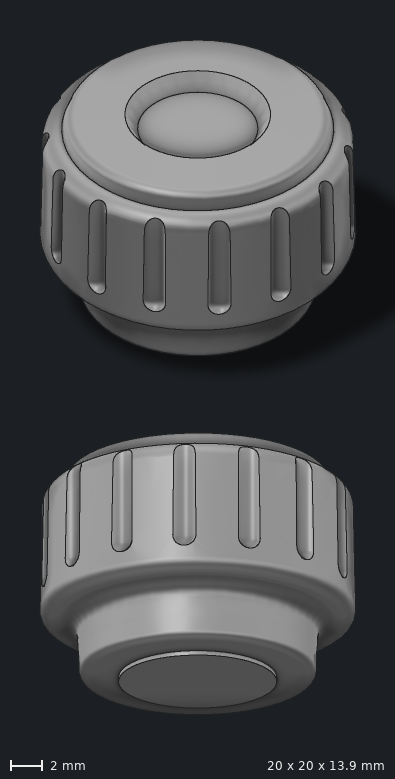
import cadquery as cq
import math

outer_radius = 9.98
total_height = 13.95

boss_radius = 5.0
boss_height = 0.3
neck_bottom_radius = 7.5
neck_top_radius = 7.59
neck_top_z = 3.02
neck_edge_radius = 0.5
flare_radius = 1.0
grip_bottom_z = neck_top_z + flare_radius
grip_bottom_edge_radius = 0.8
grip_top_radius = 9.85
grip_top_edge_radius = 1.15
grip_top_z = 12.8

groove_count = 15
groove_radius = 0.78
groove_axis_radius = 10.18
groove_ball_z = 6.35
first_groove_angle = -90.0

cap_radius = 8.59
cap_seat_z = 11.98
cap_shoulder_radius = 8.37
cap_shoulder_z = 13.38
cap_rim_radius = 7.73
cap_rim_z = 13.88

dish_rim_radius = 4.6
dish_floor_radius = 3.8
dish_depth = 1.1

DIAGONAL = math.sqrt(0.5)


def quarter_arc_middle(center_r, center_z, radius, side_r, side_z):
    """Middle point of a quarter arc; each side is +1 or -1 from the center."""
    return (center_r + side_r * radius * DIAGONAL, center_z + side_z * radius * DIAGONAL)


def make_knob_blank():
    """Revolve the boss, flared neck and rounded grip ring, with the cap seat open at the top."""
    neck_edge_center_r = neck_bottom_radius - neck_edge_radius
    neck_edge_center_z = boss_height + neck_edge_radius
    flare_end_r = neck_top_radius + flare_radius
    lower_edge_center_r = outer_radius - grip_bottom_edge_radius
    lower_edge_center_z = grip_bottom_z + grip_bottom_edge_radius
    upper_edge_center_r = grip_top_radius - grip_top_edge_radius
    upper_edge_center_z = grip_top_z - grip_top_edge_radius

    neck_edge_middle = quarter_arc_middle(neck_edge_center_r, neck_edge_center_z, neck_edge_radius, 1, -1)
    flare_middle = quarter_arc_middle(flare_end_r, neck_top_z, flare_radius, -1, 1)
    lower_edge_middle = quarter_arc_middle(
        lower_edge_center_r, lower_edge_center_z, grip_bottom_edge_radius, 1, -1)
    upper_edge_middle = quarter_arc_middle(
        upper_edge_center_r, upper_edge_center_z, grip_top_edge_radius, 1, 1)

    return (
        cq.Workplane("XZ")
        .moveTo(0, 0)
        .lineTo(boss_radius, 0)
        .lineTo(boss_radius, boss_height)
        .lineTo(neck_edge_center_r, boss_height)
        .threePointArc(neck_edge_middle, (neck_bottom_radius, neck_edge_center_z))
        .lineTo(neck_top_radius, neck_top_z)
        .threePointArc(flare_middle, (flare_end_r, grip_bottom_z))
        .lineTo(lower_edge_center_r, grip_bottom_z)
        .threePointArc(lower_edge_middle, (outer_radius, lower_edge_center_z))
        .lineTo(grip_top_radius, upper_edge_center_z)
        .threePointArc(upper_edge_middle, (upper_edge_center_r, grip_top_z))
        .lineTo(cap_radius, grip_top_z)
        .lineTo(cap_radius, cap_seat_z)
        .lineTo(0, cap_seat_z)
        .close()
        .revolve(360, (0, 0, 0), (0, 1, 0))
    )


def make_groove_cutter(angle):
    """Upright cylinder on a ball, running out through the rounded top of the grip ring."""
    shaft = cq.Workplane("XY").circle(groove_radius).extrude(total_height - groove_ball_z)
    ball = cq.Workplane("XY").sphere(groove_radius)
    return (
        shaft.union(ball)
        .translate((groove_axis_radius, 0, groove_ball_z))
        .rotate((0, 0, 0), (0, 0, 1), angle)
    )


def make_knob():
    """Grip knob with its ring of evenly spaced grooves."""
    knob = make_knob_blank()
    groove_pitch = 360 / groove_count
    for index in range(groove_count):
        knob = knob.cut(make_groove_cutter(first_groove_angle + index * groove_pitch))
    return knob


def make_cap():
    """Cap with a tapered side, rounded shoulder, slightly coned top and central dish."""
    shoulder_width = cap_shoulder_radius - cap_rim_radius
    shoulder_drop = cap_rim_z - cap_shoulder_z
    shoulder_arc_radius = (shoulder_width**2 + shoulder_drop**2) / (2 * shoulder_drop)
    half_sweep = math.atan2(shoulder_drop, shoulder_width)
    shoulder_middle = (
        cap_rim_radius + shoulder_arc_radius * math.sin(half_sweep),
        cap_rim_z - shoulder_arc_radius * (1 - math.cos(half_sweep)),
    )
    dish_floor_z = total_height - dish_depth
    return (
        cq.Workplane("XZ")
        .moveTo(0, cap_seat_z)
        .lineTo(cap_radius, cap_seat_z)
        .lineTo(cap_radius, grip_top_z)
        .lineTo(cap_shoulder_radius, cap_shoulder_z)
        .threePointArc(shoulder_middle, (cap_rim_radius, cap_rim_z))
        .lineTo(dish_rim_radius, total_height)
        .lineTo(dish_floor_radius, dish_floor_z)
        .lineTo(0, dish_floor_z)
        .close()
        .revolve(360, (0, 0, 0), (0, 1, 0))
    )


knob = make_knob()
cap = make_cap()

result = cq.Compound.makeCompound([knob.val(), cap.val()])